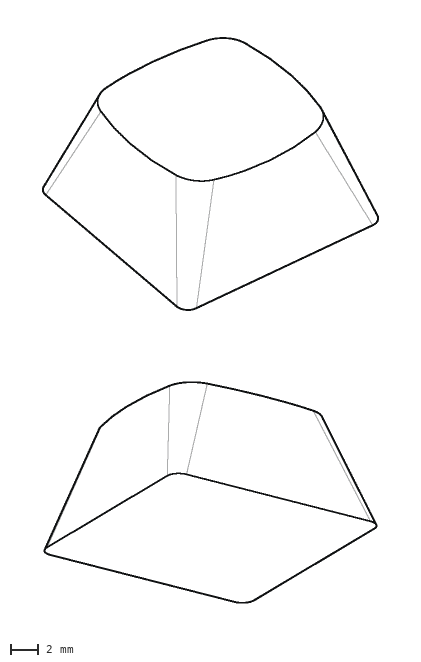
import cadquery as cq
import math

base_width = 18.0
base_corner_radius = 1.0

loft_height = 9.0
top_corner_radius = 2.63
top_half_corner = 6.1
top_half_width = 7.02

rim_height = 8.87
dish_depth = 0.35
dish_radius_x = 162.0
dish_radius_y = 70.2
dish_half_span = 10.8


def rounded_outline(z, half_width, tangent, corner_mid, side_offset):
    """Closed four-sided outline: each side and corner is one segment.

    tangent = (along, out): where a side on +X ends, measured along Y and along X.
    A zero side_offset gives straight sides, otherwise they are arcs.
    """
    along, out = tangent
    plane = cq.Workplane("XY").workplane(offset=z)
    outline = plane.moveTo(out, -along)
    for quarter in range(4):
        cos_q = round(math.cos(quarter * math.pi / 2))
        sin_q = round(math.sin(quarter * math.pi / 2))

        def turned(x, y):
            return (x * cos_q - y * sin_q, x * sin_q + y * cos_q)

        if side_offset > 0:
            outline = outline.threePointArc(turned(half_width, 0), turned(out, along))
        else:
            outline = outline.lineTo(*turned(out, along))
        outline = outline.threePointArc(turned(corner_mid, corner_mid), turned(along, out))
    return outline.close().wire().val()


def base_outline():
    half = base_width / 2
    centre = half - base_corner_radius
    corner_mid = centre + base_corner_radius * math.sqrt(0.5)
    return rounded_outline(0, half, (centre, half), corner_mid, 0)


def top_outline():
    bow = top_half_width - top_half_corner
    side_radius = (top_half_corner**2 + bow**2) / (2 * bow)
    back = side_radius - top_half_width
    reach = side_radius - top_corner_radius
    centre = (math.sqrt(2 * reach**2 - back**2) - back) / 2
    along = centre * side_radius / reach
    out = (centre + back) * side_radius / reach - back
    corner_mid = centre + top_corner_radius * math.sqrt(0.5)
    return rounded_outline(loft_height, top_half_width, (along, out), corner_mid, bow)


def dish_cutter():
    """Arc segment in the YZ plane, revolved about an axis parallel to Y above the part."""
    bottom = rim_height - dish_depth
    edge_rise = dish_radius_y - math.sqrt(dish_radius_y**2 - dish_half_span**2)
    axis_z = bottom + dish_radius_x
    cutter_top = bottom + 4 * edge_rise
    sweep_angle = 2 * math.degrees(math.asin(dish_half_span / dish_radius_x))
    section = (
        cq.Workplane("YZ")
        .moveTo(-dish_half_span, bottom + edge_rise)
        .threePointArc((0, bottom), (dish_half_span, bottom + edge_rise))
        .lineTo(dish_half_span, cutter_top)
        .lineTo(-dish_half_span, cutter_top)
        .close()
    )
    bowl = section.revolve(sweep_angle, (0, axis_z), (1, axis_z))
    return bowl.rotate((0, 0, axis_z), (0, 1, axis_z), -sweep_angle / 2)


body = cq.Workplane(cq.Solid.makeLoft([base_outline(), top_outline()], True))
result = body.cut(dish_cutter())